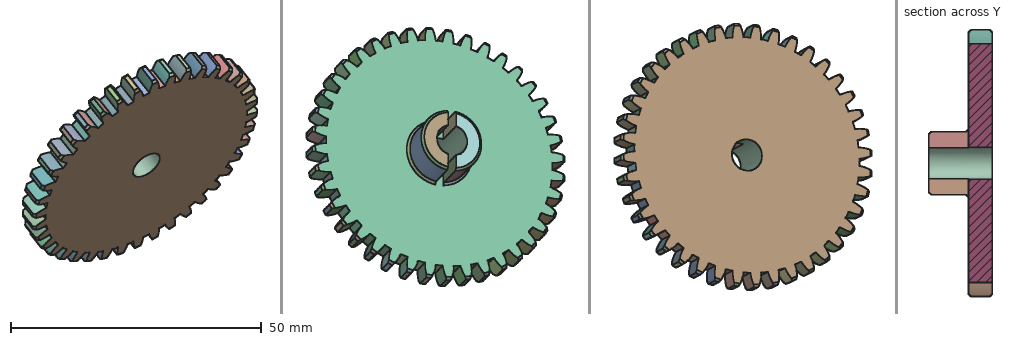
import cadquery as cq
import math

tooth_count = 40
module = 25.4 / 20
pitch_radius = module * tooth_count / 2
outer_radius = pitch_radius + module
root_clearance = 0.2 * module + 0.0508
root_radius = pitch_radius - module - root_clearance
tooth_pitch_angle = 2 * math.pi / tooth_count

root_thickness = 2.30
pitch_thickness = 1.83
tip_thickness = 0.95

overall_length = 12.7
face_width = 4.7625
hub_length = overall_length - face_width

hub_radius = 12.7 / 2
bore_diameter = 6.35
slot_width = 1.7
edge_bevel = 0.508


def polar(radius, angle):
    return (radius * math.cos(angle), radius * math.sin(angle))


def make_toothed_disc():
    """Spur gear blank; a tooth space is centred on the Y and Z axes."""
    half_root = root_thickness / 2 / root_radius
    half_pitch = pitch_thickness / 2 / pitch_radius
    half_tip = tip_thickness / 2 / outer_radius
    first_tooth = tooth_pitch_angle / 2
    outline = cq.Workplane("YZ").moveTo(*polar(root_radius, first_tooth - half_root))
    for tooth in range(tooth_count):
        centre = first_tooth + tooth * tooth_pitch_angle
        next_space = centre + tooth_pitch_angle / 2
        next_root = centre + tooth_pitch_angle - half_root
        outline = (
            outline
            .threePointArc(polar(pitch_radius, centre - half_pitch), polar(outer_radius, centre - half_tip))
            .threePointArc(polar(outer_radius, centre), polar(outer_radius, centre + half_tip))
            .threePointArc(polar(pitch_radius, centre + half_pitch), polar(root_radius, centre + half_root))
            .threePointArc(polar(root_radius, next_space), polar(root_radius, next_root))
        )
    return outline.close().extrude(face_width)


def make_bevel_envelope():
    """Disc with bevelled rims that trims both ends of every tooth."""
    return cq.Workplane("YZ").circle(outer_radius).extrude(face_width).edges().chamfer(edge_bevel)


def make_hub():
    """Turned hub with a bevelled free end and a conical base against the gear."""
    profile = [
        (0, 0),
        (-hub_length, 0),
        (-hub_length, hub_radius - edge_bevel),
        (-hub_length + edge_bevel, hub_radius),
        (-edge_bevel, hub_radius),
        (0, hub_radius + edge_bevel),
    ]
    return cq.Workplane("XY").polyline(profile).close().revolve(360, (0, 0, 0), (1, 0, 0))


def make_slot():
    """Slot across the full hub diameter, as deep as the gear face."""
    slot_length = 2 * (hub_radius + edge_bevel)
    return cq.Workplane("YZ").rect(slot_width, slot_length).extrude(-hub_length)


def make_bore():
    start = cq.Workplane("YZ").workplane(offset=-hub_length)
    return start.circle(bore_diameter / 2).extrude(overall_length)


gear = make_toothed_disc().intersect(make_bevel_envelope())
hub = make_hub().cut(make_slot())
result = gear.union(hub).cut(make_bore())